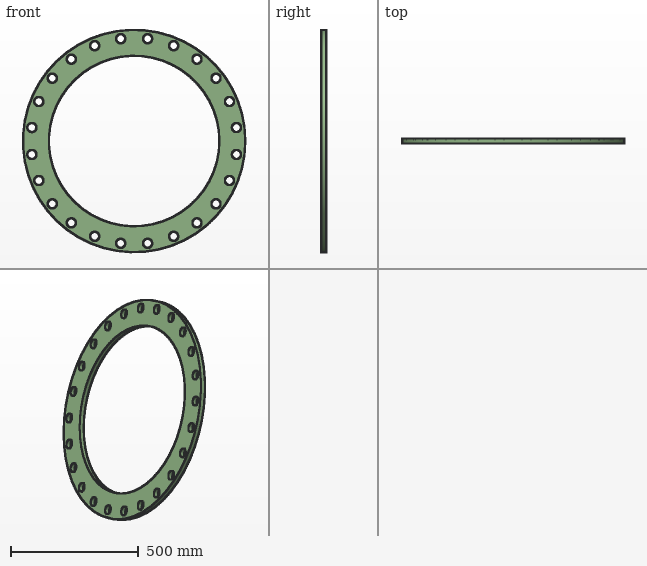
import cadquery as cq

outer_diameter = 870.0
bore_diameter = 665.5
thickness = 21.0

bolt_circle_diameter = 806.5
bolt_hole_diameter = 35.0
bolt_hole_count = 24
first_hole_angle = 360 / bolt_hole_count / 2


def make_ring():
    """Plain ring, reaching from Y = 0 towards -Y."""
    return (
        cq.Workplane("XZ")
        .circle(outer_diameter / 2)
        .circle(bore_diameter / 2)
        .extrude(thickness)
    )


def make_bolt_holes():
    """Cylinders that cut the bolt holes through the full thickness."""
    return (
        cq.Workplane("XZ")
        .polarArray(bolt_circle_diameter / 2, first_hole_angle, 360, bolt_hole_count)
        .circle(bolt_hole_diameter / 2)
        .extrude(thickness)
    )


result = make_ring().cut(make_bolt_holes())